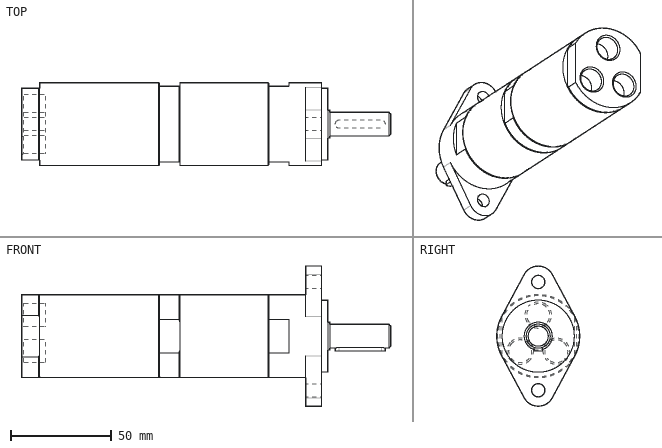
import cadquery as cq
import math


BODY_DIAMETER = 41.5
BODY_RADIUS = BODY_DIAMETER / 2
EDGE_CHAMFER = 0.5

COVER_END = 9.0
REAR_HOUSING_END = 68.9
MIDDLE_PLATE_END = 79.0
FRONT_HOUSING_END = 123.3
FRONT_PLATE_END = 133.3
FLANGE_FACE = 149.6

COVER_FLAT_WIDTH = 36.0
PLATE_FLAT_WIDTH = 38.0

FLANGE_THICKNESS = 8.0
EAR_RADIUS = 8.0
EAR_OFFSET = 27.0
MOUNTING_HOLE_DIAMETER = 6.5

PILOT_DIAMETER = 36.0
PILOT_LENGTH = 3.2
COLLAR_DIAMETER = 14.0
COLLAR_LENGTH = 1.0
SHAFT_DIAMETER = 12.0
SHAFT_END = 184.2
SHAFT_CHAMFER = 1.0

KEY_START = 156.4
KEY_LENGTH = 25.0
KEY_WIDTH = 4.0
KEY_HEIGHT = 4.0
KEY_PROJECTION = 1.5

PORT_CENTERS = [(0, 10.5), (-9.0, -7.5), (9.0, -7.5)]
PORT_DIAMETER = 11.45
PORT_MOUTH_DIAMETER = 13.16
PORT_DEPTH = 12.0


def cylinder(start, end, diameter):
    """Round section on the X axis between two stations."""
    return cq.Workplane("YZ").workplane(offset=start).circle(diameter / 2).extrude(end - start)


def body_section(start, end, chamfered=False):
    """Housing section, optionally with its +X rim chamfered."""
    section = cylinder(start, end, BODY_DIAMETER)
    if chamfered:
        section = section.faces(">X").chamfer(EDGE_CHAMFER)
    return section


def flatted_section(start, end, flat_width, chamfered=False):
    """Housing section cut down to two parallel flats on the +Y and -Y sides."""
    length = end - start
    slab = cq.Workplane("XY").box(length, flat_width, BODY_DIAMETER).translate((start + length / 2, 0, 0))
    return body_section(start, end, chamfered).intersect(slab)


def flange():
    """Flange plate whose ears run tangentially into the body diameter."""
    sine = (BODY_RADIUS - EAR_RADIUS) / EAR_OFFSET
    cosine = math.sqrt(1 - sine**2)
    body_y, body_z = BODY_RADIUS * cosine, BODY_RADIUS * sine
    ear_y, ear_z = EAR_RADIUS * cosine, EAR_OFFSET + EAR_RADIUS * sine
    tip_z = EAR_OFFSET + EAR_RADIUS
    return (
        cq.Workplane("YZ")
        .workplane(offset=FLANGE_FACE - FLANGE_THICKNESS)
        .moveTo(body_y, body_z)
        .lineTo(ear_y, ear_z)
        .threePointArc((0, tip_z), (-ear_y, ear_z))
        .lineTo(-body_y, body_z)
        .threePointArc((-BODY_RADIUS, 0), (-body_y, -body_z))
        .lineTo(-ear_y, -ear_z)
        .threePointArc((0, -tip_z), (ear_y, -ear_z))
        .lineTo(body_y, -body_z)
        .threePointArc((BODY_RADIUS, 0), (body_y, body_z))
        .close()
        .pushPoints([(0, EAR_OFFSET), (0, -EAR_OFFSET)])
        .circle(MOUNTING_HOLE_DIAMETER / 2)
        .extrude(FLANGE_THICKNESS)
    )


def shaft():
    """Pilot, collar and output shaft with a chamfered end."""
    pilot_end = FLANGE_FACE + PILOT_LENGTH
    collar_end = pilot_end + COLLAR_LENGTH
    pilot = cylinder(FLANGE_FACE, pilot_end, PILOT_DIAMETER)
    collar = cylinder(pilot_end, collar_end, COLLAR_DIAMETER)
    journal = cylinder(collar_end, SHAFT_END, SHAFT_DIAMETER).faces(">X").chamfer(SHAFT_CHAMFER)
    return pilot.union(collar).union(journal)


def key():
    """Parallel key with round ends, seated in the shaft."""
    bottom = -SHAFT_DIAMETER / 2 - KEY_PROJECTION
    return (
        cq.Workplane("XY")
        .workplane(offset=bottom)
        .center(KEY_START + KEY_LENGTH / 2, 0)
        .slot2D(KEY_LENGTH, KEY_WIDTH)
        .extrude(KEY_HEIGHT)
    )


def port(y, z):
    """Cutter for one blind port with a 45 degree countersunk mouth."""
    bore_radius = PORT_DIAMETER / 2
    mouth_radius = PORT_MOUTH_DIAMETER / 2
    mouth_depth = mouth_radius - bore_radius
    bore = cylinder(0, PORT_DEPTH, PORT_DIAMETER)
    mouth = cq.Solid.makeCone(
        mouth_radius, bore_radius, mouth_depth, pnt=cq.Vector(0, 0, 0), dir=cq.Vector(1, 0, 0)
    )
    return bore.union(cq.Workplane(mouth)).translate((0, y, z))


result = flatted_section(0, COVER_END, COVER_FLAT_WIDTH, chamfered=True)
result = result.union(body_section(COVER_END, REAR_HOUSING_END, chamfered=True))
result = result.union(flatted_section(REAR_HOUSING_END, MIDDLE_PLATE_END, PLATE_FLAT_WIDTH, chamfered=True))
result = result.union(body_section(MIDDLE_PLATE_END, FRONT_HOUSING_END, chamfered=True))
result = result.union(flatted_section(FRONT_HOUSING_END, FRONT_PLATE_END, PLATE_FLAT_WIDTH))
result = result.union(body_section(FRONT_PLATE_END, FLANGE_FACE - FLANGE_THICKNESS))
result = result.union(flange()).union(shaft()).union(key())
for port_y, port_z in PORT_CENTERS:
    result = result.cut(port(port_y, port_z))